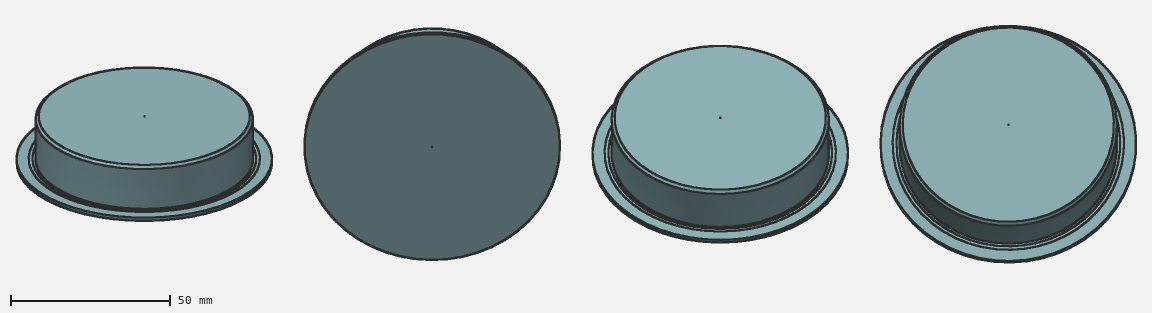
import cadquery as cq

flange_diameter = 80.0
overall_height = 16.2
flange_thickness = 1.2

drum_foot_diameter = 68.2
drum_shoulder_diameter = 68.0
rim_chamfer = 1.0

pinhole_diameter = 0.004

ring_outer_diameter = 72.4
ring_inner_diameter = 70.0
ring_depth = flange_thickness / 2


def make_seal_ring():
    """Flat ring that fills the groove in the flange."""
    return (
        cq.Workplane("XY")
        .workplane(offset=flange_thickness - ring_depth)
        .circle(ring_outer_diameter / 2)
        .circle(ring_inner_diameter / 2)
        .extrude(ring_depth)
    )


def make_cap(seal_ring):
    """Flanged drum revolved around a central pinhole, with a groove for the ring."""
    axis_radius = pinhole_diameter / 2
    shoulder_radius = drum_shoulder_diameter / 2
    profile = (
        cq.Workplane("XZ")
        .moveTo(axis_radius, 0)
        .lineTo(flange_diameter / 2, 0)
        .lineTo(flange_diameter / 2, flange_thickness)
        .lineTo(drum_foot_diameter / 2, flange_thickness)
        .lineTo(shoulder_radius, overall_height - rim_chamfer)
        .lineTo(shoulder_radius - rim_chamfer, overall_height)
        .lineTo(axis_radius, overall_height)
        .close()
    )
    cap = profile.revolve(360, (0, 0, 0), (0, 1, 0))
    return cap.cut(seal_ring).solids()


seal_ring = make_seal_ring()
cap = make_cap(seal_ring)

result = cq.Compound.makeCompound([cap.val(), seal_ring.val()])